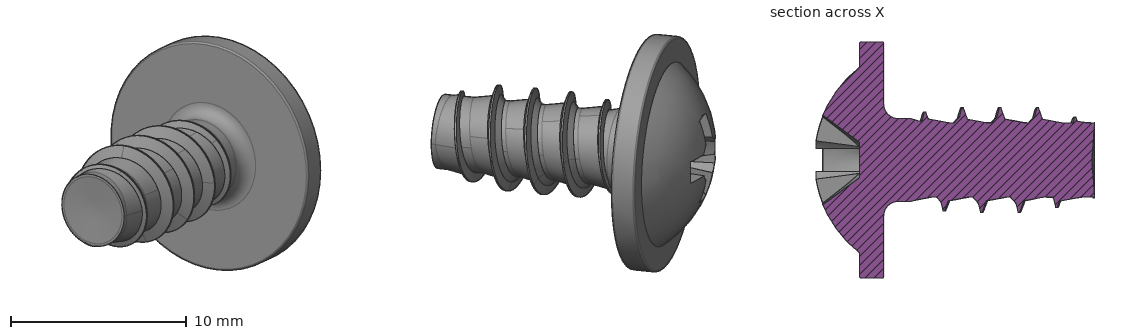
import cadquery as cq
import math


FLANGE_DIA = 13.5
FLANGE_THICKNESS = 1.4
FLANGE_EDGE_ROUND = 0.1
DOME_BASE_RADIUS = 5.3
DOME_APEX_Y = 4.0
DOME_RISE = DOME_APEX_Y - FLANGE_THICKNESS
DOME_SPHERE_RADIUS = (DOME_BASE_RADIUS**2 + DOME_RISE**2) / (2 * DOME_RISE)

WING_WIDTH = 1.3
WING_TIP_RADIUS = 2.55
RECESS_FLOOR_RADIUS = 1.0
RECESS_CORE_RADIUS = 1.28
RECESS_FLOOR_Y = FLANGE_THICKNESS

SHANK_LENGTH = 12.0
NECK_RADIUS = 2.38
NECK_FILLET = 0.8
NECK_LENGTH = 1.5
NECK_TAPER_LENGTH = 0.95
ROOT_RADIUS = 2.13
TIP_RIM_WIDTH = 0.15
TIP_HOLLOW_DEPTH = 0.15

PITCH = 2.14
CREST_RADIUS = 3.0
FIRST_CREST_Y = -1.8
CREST_HALF_WIDTH = 0.05
START_RISE_PER_TURN = 0.34
END_FALL_PER_TURN = 0.56
THREAD_START_TURN = -0.75
FULL_DEPTH_TURN = 1.0
END_FALL_TURN = 3.25
THREAD_END_TURN = 5.1
THREAD_ZONE_CLEARANCE = 0.05

SHOULDER_OFFSET = -0.18
SHOULDER_DROP = 0.53
HEAD_FOOT_OFFSET = -0.6
HEAD_FOOT_DROP = 1.0
TIP_FOOT_OFFSET = 0.41

BUTTRESS_TOP_RADIUS = 2.39
BUTTRESS_LENGTH = 1.4
BUTTRESS_FADE_TURN = 4.0
BUTTRESS_END_TURN = 4.8
BUTTRESS_FADE_DROP = 0.45
BUTTRESS_OVERRUN = 0.2
BUTTRESS_EMBED_RADIUS = 1.6

POINTS_PER_TURN = 24
PATCHES_PER_TURN = 2


def make_head():
    """Round-edged flange with a spherical dome on top."""
    flange = (
        cq.Workplane("XZ")
        .circle(FLANGE_DIA / 2)
        .extrude(-FLANGE_THICKNESS)
        .faces("<Y or >Y")
        .edges()
        .fillet(FLANGE_EDGE_ROUND)
    )
    half_angle = math.asin(DOME_BASE_RADIUS / DOME_SPHERE_RADIUS) / 2
    arc_middle = (
        DOME_SPHERE_RADIUS * math.sin(half_angle),
        DOME_APEX_Y - DOME_SPHERE_RADIUS * (1 - math.cos(half_angle)),
    )
    dome = (
        cq.Workplane("XY")
        .lineTo(DOME_BASE_RADIUS, 0)
        .lineTo(DOME_BASE_RADIUS, FLANGE_THICKNESS)
        .threePointArc(arc_middle, (0, DOME_APEX_Y))
        .close()
        .revolve(axisStart=(0, 0), axisEnd=(0, 1))
    )
    return flange.union(dome)


def make_recess():
    """Four wings whose outer ends lean inwards to the floor, around a round core."""
    height = DOME_APEX_Y - RECESS_FLOOR_Y
    floor = cq.Workplane("XZ", origin=(0, RECESS_FLOOR_Y, 0))
    span = 2 * WING_TIP_RADIUS
    cross = floor.rect(span, WING_WIDTH).extrude(-height)
    cross = cross.union(floor.rect(WING_WIDTH, span).extrude(-height))

    sphere_centre_y = DOME_APEX_Y - DOME_SPHERE_RADIUS
    mouth_y = sphere_centre_y + math.sqrt(DOME_SPHERE_RADIUS**2 - WING_TIP_RADIUS**2)
    wing_limit = (
        cq.Workplane("XY")
        .moveTo(0, RECESS_FLOOR_Y)
        .lineTo(RECESS_FLOOR_RADIUS, RECESS_FLOOR_Y)
        .lineTo(WING_TIP_RADIUS, mouth_y)
        .lineTo(WING_TIP_RADIUS, DOME_APEX_Y)
        .lineTo(0, DOME_APEX_Y)
        .close()
        .revolve(axisStart=(0, 0), axisEnd=(0, 1))
    )
    core = (
        cq.Workplane("XY")
        .moveTo(0, RECESS_FLOOR_Y)
        .lineTo(RECESS_FLOOR_RADIUS, RECESS_FLOOR_Y)
        .lineTo(RECESS_CORE_RADIUS, DOME_APEX_Y)
        .lineTo(0, DOME_APEX_Y)
        .close()
        .revolve(axisStart=(0, 0), axisEnd=(0, 1))
    )
    return cross.intersect(wing_limit).union(core)


def make_shank():
    """Filleted neck, short taper to the thread root and a plain cylinder to the tip."""
    arc_reach = NECK_FILLET * (1 - math.sqrt(0.5))
    return (
        cq.Workplane("XY")
        .moveTo(0, FLANGE_THICKNESS / 2)
        .lineTo(NECK_RADIUS + NECK_FILLET, FLANGE_THICKNESS / 2)
        .lineTo(NECK_RADIUS + NECK_FILLET, 0)
        .threePointArc((NECK_RADIUS + arc_reach, -arc_reach), (NECK_RADIUS, -NECK_FILLET))
        .lineTo(NECK_RADIUS, -NECK_LENGTH)
        .lineTo(ROOT_RADIUS, -NECK_LENGTH - NECK_TAPER_LENGTH)
        .lineTo(ROOT_RADIUS, -SHANK_LENGTH)
        .lineTo(0, -SHANK_LENGTH)
        .close()
        .revolve(axisStart=(0, 0), axisEnd=(0, 1))
    )


def make_tip_hollow():
    """Shallow cone sunk into the tip inside a narrow flat rim."""
    return (
        cq.Workplane("XY")
        .moveTo(0, -SHANK_LENGTH)
        .lineTo(ROOT_RADIUS - TIP_RIM_WIDTH, -SHANK_LENGTH)
        .lineTo(0, -SHANK_LENGTH + TIP_HOLLOW_DEPTH)
        .close()
        .revolve(axisStart=(0, 0), axisEnd=(0, 1))
    )


def helix_point(turn, offset, radius):
    """Point on the helix, moved by an axial offset towards the tip."""
    angle = 2 * math.pi * turn
    height = FIRST_CREST_Y - PITCH * turn - offset
    return cq.Vector(radius * math.cos(angle), height, radius * math.sin(angle))


def helix_edge(offset, start, end):
    """Spiral curve between two (turn, radius) ends, its radius changing evenly."""
    (start_turn, start_radius), (end_turn, end_radius) = start, end
    steps = math.ceil((end_turn - start_turn) * POINTS_PER_TURN)
    points = []
    for step in range(steps + 1):
        share = step / steps
        turn = start_turn + share * (end_turn - start_turn)
        radius = start_radius + share * (end_radius - start_radius)
        points.append(helix_point(turn, offset, radius))
    return cq.Edge.makeSpline(points)


def split_stations(stations):
    """Add evenly changing stations so that no patch is longer than part of a turn."""
    split = []
    for (turn_a, change_a), (turn_b, change_b) in zip(stations, stations[1:]):
        patches = math.ceil((turn_b - turn_a) * PATCHES_PER_TURN)
        for patch in range(patches):
            share = patch / patches
            turn = turn_a + share * (turn_b - turn_a)
            change = change_a + share * (change_b - change_a)
            split.append((turn, change))
    return split + [stations[-1]]


def helical_solid(section, stations):
    """Solid following a section of (offset, radius) points along the helix.

    Each station is (turn, change of radius); between stations the change is even.
    """
    faces = []
    patch_ends = split_stations(stations)
    for (turn_a, change_a), (turn_b, change_b) in zip(patch_ends, patch_ends[1:]):
        edges = [
            helix_edge(offset, (turn_a, radius + change_a), (turn_b, radius + change_b))
            for offset, radius in section
        ]
        for edge, next_edge in zip(edges, edges[1:] + edges[:1]):
            faces.append(cq.Face.makeRuledSurface(edge, next_edge))

    for turn, change in (stations[0], stations[-1]):
        corners = [helix_point(turn, offset, radius + change) for offset, radius in section]
        faces.append(cq.Face.makeFromWires(cq.Wire.makePolygon(corners, close=True)))
    solid = cq.Solid.makeSolid(cq.Shell.makeShell(faces))
    return cq.Workplane("XY").newObject([solid.fix()])


def make_thread():
    """Thread ridge that rises out of the neck and sinks into the core at the tip."""
    foot_radius = CREST_RADIUS - HEAD_FOOT_DROP
    section = [
        (HEAD_FOOT_OFFSET, foot_radius),
        (SHOULDER_OFFSET, CREST_RADIUS - SHOULDER_DROP),
        (-CREST_HALF_WIDTH, CREST_RADIUS),
        (CREST_HALF_WIDTH, CREST_RADIUS),
        (TIP_FOOT_OFFSET, foot_radius),
    ]
    stations = [
        (THREAD_START_TURN, -START_RISE_PER_TURN * (FULL_DEPTH_TURN - THREAD_START_TURN)),
        (FULL_DEPTH_TURN, 0),
        (END_FALL_TURN, 0),
        (THREAD_END_TURN, -END_FALL_PER_TURN * (THREAD_END_TURN - END_FALL_TURN)),
    ]
    return helical_solid(section, stations)


def make_buttress():
    """Ramp from the thread down to the root, fading into the core near the tip."""
    slope = (BUTTRESS_TOP_RADIUS - ROOT_RADIUS) / BUTTRESS_LENGTH
    buried_end = BUTTRESS_LENGTH + BUTTRESS_OVERRUN
    section = [
        (0, BUTTRESS_EMBED_RADIUS),
        (0, BUTTRESS_TOP_RADIUS),
        (buried_end, BUTTRESS_TOP_RADIUS - slope * buried_end),
        (buried_end, BUTTRESS_EMBED_RADIUS),
    ]
    stations = [
        (THREAD_START_TURN, 0),
        (BUTTRESS_FADE_TURN, 0),
        (BUTTRESS_END_TURN, -BUTTRESS_FADE_DROP),
    ]
    return helical_solid(section, stations)


def make_thread_zone():
    """Cylinder from the neck end to the tip; the thread exists only inside it."""
    return (
        cq.Workplane("XZ", origin=(0, -NECK_LENGTH, 0))
        .circle(CREST_RADIUS + THREAD_ZONE_CLEARANCE)
        .extrude(SHANK_LENGTH - NECK_LENGTH)
    )


thread_zone = make_thread_zone()

result = make_head().cut(make_recess()).union(make_shank())
for ridge in (make_buttress(), make_thread()):
    result = result.union(ridge.intersect(thread_zone))
result = result.cut(make_tip_hollow()).solids()